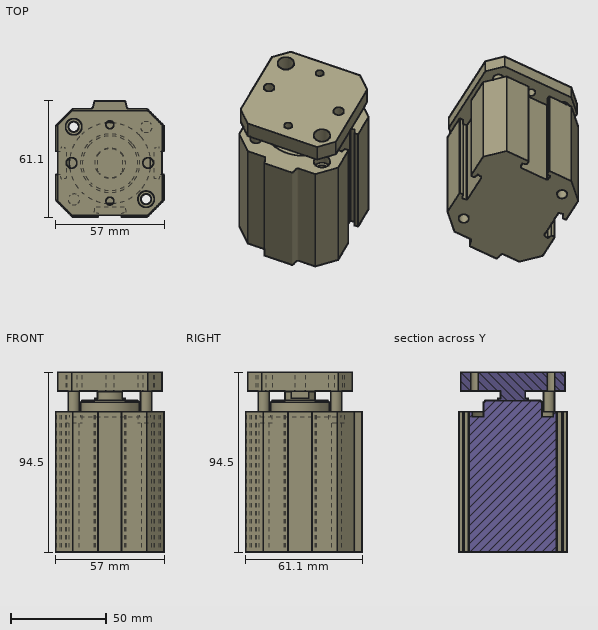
import cadquery as cq

TOTAL_HEIGHT = 94.5

HOUSING_WIDTH = 57.0
HOUSING_HEIGHT = 73.7
HOUSING_CHAMFER = 9.1

SLOT_THROAT_WIDTH = 12.1
SLOT_EDGE_CHAMFER = 0.3
SLOT_LIP = 2.1
SLOT_SHOULDER_WIDTH = 16.8
SLOT_SHOULDER_DEPTH = 2.9
SLOT_FLOOR_WIDTH = 16.1
SLOT_FLOOR_CHAMFER = 0.4
SLOT_DEPTH = 5.5

RAIL_HEIGHT = 4.1
RAIL_TOP_WIDTH = 16.3
RAIL_BASE_WIDTH = 18.2
RAIL_ROOT_RADIUS = 1.0
RAIL_EDGE_RADIUS = 0.5

RECESS_DIAMETER = 42.5
RECESS_DEPTH = 2.55
COLLAR_DIAMETER = 31.0
COLLAR_RISE = 5.9
COLLAR_CHAMFER = 1.0

CORNER_OFFSET = 19.0
COUNTERBORE_DIAMETER = 8.5
COUNTERBORE_DEPTH = 5.9
MOUNTING_HOLE_DIAMETER = 5.3

PLATE_WIDTH = 54.9
PLATE_THICKNESS = 10.0
PLATE_CHAMFER = 7.5
ACCESS_HOLE_DIAMETER = 8.6
PLATE_HOLE_OFFSET = 20.0
LARGE_PLATE_HOLE_DIAMETER = 5.5
SMALL_PLATE_HOLE_DIAMETER = 4.2

ROD_DIAMETER = 16.0
ROD_FLATS_WIDTH = 13.0
ROD_SHOULDER_RISE = 1.1
ROD_END_CHAMFER = 0.3
PIN_DIAMETER = 6.0

COLLAR_TOP = HOUSING_HEIGHT + COLLAR_RISE
PLATE_BOTTOM = TOTAL_HEIGHT - PLATE_THICKNESS
ACCESS_CORNERS = [(-CORNER_OFFSET, CORNER_OFFSET), (CORNER_OFFSET, -CORNER_OFFSET)]
PIN_CORNERS = [(-CORNER_OFFSET, -CORNER_OFFSET), (CORNER_OFFSET, CORNER_OFFSET)]


def chamfered_block(width, height, chamfer, bottom):
    block = cq.Workplane("XY", origin=(0, 0, bottom)).rect(width, width).extrude(height)
    return block.edges("|Z").chamfer(chamfer)


def cylinders(centres, diameter, bottom, height):
    """Upright cylinders of one size standing at the given XY centres."""
    plane = cq.Workplane("XY", origin=(0, 0, bottom))
    return plane.pushPoints(centres).circle(diameter / 2).extrude(height)


def slot_cutter(angle):
    """Undercut slot along the full height of the -Y side, turned by angle about Z."""
    face = -HOUSING_WIDTH / 2
    floor = face + SLOT_DEPTH
    throat_x = SLOT_THROAT_WIDTH / 2
    floor_x = SLOT_FLOOR_WIDTH / 2
    right_half = [
        (throat_x + SLOT_EDGE_CHAMFER, face),
        (throat_x, face + SLOT_EDGE_CHAMFER),
        (throat_x, face + SLOT_LIP),
        (SLOT_SHOULDER_WIDTH / 2, face + SLOT_SHOULDER_DEPTH),
        (floor_x, floor - SLOT_FLOOR_CHAMFER),
        (floor_x - SLOT_FLOOR_CHAMFER, floor),
    ]
    left_half = [(-x, y) for x, y in reversed(right_half)]
    slot = cq.Workplane("XY").polyline(right_half + left_half).close().extrude(HOUSING_HEIGHT)
    return slot.rotate((0, 0, 0), (0, 0, 1), angle)


def add_rail(body):
    """Trapezoidal rail along the +Y side, rounded where it leaves the side."""
    base = HOUSING_WIDTH / 2
    top = base + RAIL_HEIGHT
    rail = (
        cq.Workplane("XY")
        .moveTo(-RAIL_BASE_WIDTH / 2, 0)
        .lineTo(-RAIL_BASE_WIDTH / 2, base)
        .lineTo(-RAIL_TOP_WIDTH / 2, top)
        .lineTo(RAIL_TOP_WIDTH / 2, top)
        .lineTo(RAIL_BASE_WIDTH / 2, base)
        .lineTo(RAIL_BASE_WIDTH / 2, 0)
        .close()
        .extrude(HOUSING_HEIGHT)
    )
    body = body.union(rail)
    for side in (-1, 1):
        root = (side * RAIL_BASE_WIDTH / 2, base, HOUSING_HEIGHT / 2)
        body = body.edges(cq.selectors.NearestToPointSelector(root)).fillet(RAIL_ROOT_RADIUS)
    return body.edges("|Z and >Y").fillet(RAIL_EDGE_RADIUS)


def build_housing():
    body = chamfered_block(HOUSING_WIDTH, HOUSING_HEIGHT, HOUSING_CHAMFER, 0)
    body = add_rail(body)
    for angle in (-90, 0, 90):
        body = body.cut(slot_cutter(angle))

    recess_floor = HOUSING_HEIGHT - RECESS_DEPTH
    recess = cylinders([(0, 0)], RECESS_DIAMETER, recess_floor, RECESS_DEPTH)
    collar = cylinders([(0, 0)], COLLAR_DIAMETER, recess_floor, COLLAR_TOP - recess_floor)
    collar = collar.faces(">Z").chamfer(COLLAR_CHAMFER)
    body = body.cut(recess).union(collar)

    mounting_holes = cylinders(ACCESS_CORNERS, MOUNTING_HOLE_DIAMETER, 0, HOUSING_HEIGHT)
    counterbore_floor = HOUSING_HEIGHT - COUNTERBORE_DEPTH
    counterbores = cylinders(ACCESS_CORNERS, COUNTERBORE_DIAMETER, counterbore_floor, COUNTERBORE_DEPTH)
    return body.cut(mounting_holes).cut(counterbores)


def build_rod():
    """Round rod with a chamfered upper end and a wrench flat on its -X and +X sides."""
    length = PLATE_BOTTOM - COLLAR_TOP
    rod = cylinders([(0, 0)], ROD_DIAMETER, COLLAR_TOP, length)
    rod = rod.faces(">Z").chamfer(ROD_END_CHAMFER)
    outside_flats = (
        cq.Workplane("XY", origin=(0, 0, COLLAR_TOP + ROD_SHOULDER_RISE))
        .rect(2 * ROD_DIAMETER, 2 * ROD_DIAMETER)
        .rect(ROD_FLATS_WIDTH, ROD_DIAMETER)
        .extrude(length - ROD_SHOULDER_RISE)
    )
    return rod.cut(outside_flats)


def build_carriage():
    """Plate with the piston rod and the two guide pins under it."""
    plate = chamfered_block(PLATE_WIDTH, PLATE_THICKNESS, PLATE_CHAMFER, PLATE_BOTTOM)
    offset = PLATE_HOLE_OFFSET
    hole_sets = [
        (ACCESS_CORNERS, ACCESS_HOLE_DIAMETER),
        ([(-offset, 0), (offset, 0)], LARGE_PLATE_HOLE_DIAMETER),
        ([(0, -offset), (0, offset)], SMALL_PLATE_HOLE_DIAMETER),
    ]
    for centres, diameter in hole_sets:
        plate = plate.cut(cylinders(centres, diameter, PLATE_BOTTOM, PLATE_THICKNESS))
    pins = cylinders(PIN_CORNERS, PIN_DIAMETER, HOUSING_HEIGHT, PLATE_BOTTOM - HOUSING_HEIGHT)
    return plate.union(build_rod()).union(pins)


housing = build_housing()
carriage = build_carriage()

result = cq.Compound.makeCompound([housing.val(), carriage.val()])